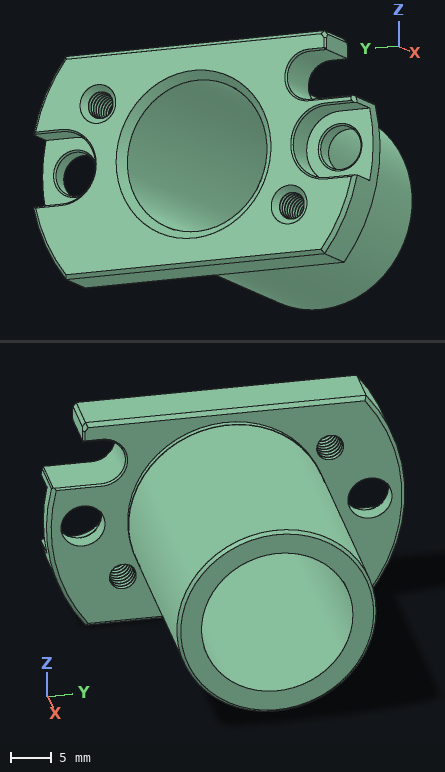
import cadquery as cq
total_length = 36.5
flange_diameter = 44.95
flange_height = 28.0
flange_thickness = 6.5
flange_chamfer = 0.5
flange_radius = flange_diameter / 2
outside = flange_diameter

barrel_radius = 12.5
barrel_chamfer = 0.4
neck_step = 0.1
neck_radius = barrel_radius - neck_step
neck_length = 0.8
bore_radius = 9.5
bore_chamfer = 1.05

mount_offset = 18.0
mount_hole_radius = 2.75
mount_hole_chamfer = 0.22
pocket_radius = 4.55
pocket_depth = 4.05

notch_center_y = -15.65
notch_center_z = 8.5
notch_radius = 3.0
notch_end_y = -18.0
notch_flare_y = -21.65
edge_chamfer = 0.22

thread_hole_y = 13.0
thread_hole_z = 7.5
thread_minor_radius = 1.65
thread_major_radius = 2.0
thread_pitch = 0.7
thread_groove_width = 0.6
thread_mouth_radius = 2.43


def rod(x, y, z, radius, length):
    """Cylinder along +X that starts at the given point."""
    return cq.Workplane("YZ", origin=(x, y, z)).circle(radius).extrude(length)


def countersink(x, y, z, hole_radius, width):
    """45 degree cone that opens towards -X from the given hole."""
    return cq.Workplane("YZ", origin=(x, y, z)).circle(hole_radius + width).extrude(width, taper=45)


def make_flange():
    disc = rod(0, 0, 0, flange_radius, flange_thickness)
    band = cq.Workplane("YZ").rect(outside * 2, flange_height).extrude(flange_thickness)
    return disc.intersect(band).faces("<X or >X").chamfer(flange_chamfer)


def make_barrel():
    neck = rod(flange_thickness, 0, 0, neck_radius, neck_length)
    barrel_start = flange_thickness + neck_length
    barrel = rod(barrel_start, 0, 0, barrel_radius, total_length - barrel_start)
    barrel = barrel.faces(">X").chamfer(barrel_chamfer)
    barrel = barrel.faces("<X").chamfer(neck_step)
    return neck.union(barrel)


def make_bore():
    bore = rod(0, 0, 0, bore_radius, total_length)
    return bore.union(countersink(0, 0, 0, bore_radius, bore_chamfer))


def pocket_outline(side, growth):
    """U shape around a mounting hole, open outwards and widened by growth."""
    radius = pocket_radius + growth
    center = side * mount_offset
    return (
        cq.Workplane("YZ")
        .moveTo(side * outside, radius)
        .lineTo(center, radius)
        .threePointArc((center - side * radius, 0), (center, -radius))
        .lineTo(side * outside, -radius)
        .close()
    )


def make_mount(side):
    """Mounting hole and its pocket; side is +1 or -1 along Y."""
    center = side * mount_offset
    pocket = pocket_outline(side, 0).extrude(pocket_depth)
    pocket_edge = pocket_outline(side, edge_chamfer).extrude(edge_chamfer, taper=45)
    hole = rod(0, center, 0, mount_hole_radius, flange_thickness)
    hole_edge = countersink(pocket_depth, center, 0, mount_hole_radius, mount_hole_chamfer)
    return pocket.union(pocket_edge).union(hole).union(hole_edge)


def notch_outline(x, growth):
    """Notch with a round inner end, widened by growth."""
    radius = notch_radius + growth
    floor_z = notch_center_z - radius
    arm_end = notch_end_y + growth
    return (
        cq.Workplane("YZ", origin=(x, 0, 0))
        .moveTo(arm_end, outside)
        .lineTo(arm_end, notch_center_z + radius)
        .lineTo(notch_center_y, notch_center_z + radius)
        .threePointArc((notch_center_y + radius, notch_center_z), (notch_center_y, floor_z))
        .lineTo(notch_flare_y, floor_z)
        .lineTo(-flange_radius, floor_z - (flange_radius + notch_flare_y))
        .lineTo(-outside, floor_z - (flange_radius + notch_flare_y))
        .lineTo(-outside, outside)
        .close()
    )


def make_notch():
    notch = notch_outline(0, 0).extrude(flange_thickness)
    front_edge = notch_outline(0, edge_chamfer).extrude(edge_chamfer, taper=45)
    back_edge = notch_outline(flange_thickness, edge_chamfer).extrude(-edge_chamfer, taper=45)
    return notch.union(front_edge).union(back_edge)


def make_threaded_hole(side):
    """Countersunk through hole with thread grooves, modelled as rings one pitch apart."""
    mouth_depth = thread_mouth_radius - thread_major_radius
    flank = thread_groove_width / 2
    points = [(0, 0), (0, thread_mouth_radius), (mouth_depth, thread_major_radius)]
    points.append((mouth_depth + flank, thread_minor_radius))
    ring_count = int((flange_thickness - mouth_depth - flank) / thread_pitch)
    for ring in range(1, ring_count + 1):
        groove_x = mouth_depth + ring * thread_pitch
        points.append((groove_x - flank, thread_minor_radius))
        points.append((groove_x, thread_major_radius))
        points.append((groove_x + flank, thread_minor_radius))
    points += [(flange_thickness, thread_minor_radius), (flange_thickness, 0)]
    profile = cq.Workplane("XY").polyline(points).close()
    hole = profile.revolve(360, (0, 0, 0), (1, 0, 0))
    return hole.translate((0, side * thread_hole_y, side * thread_hole_z))


result = make_flange().union(make_barrel()).cut(make_bore()).cut(make_notch())
for side in (1, -1):
    result = result.cut(make_mount(side)).cut(make_threaded_hole(side))